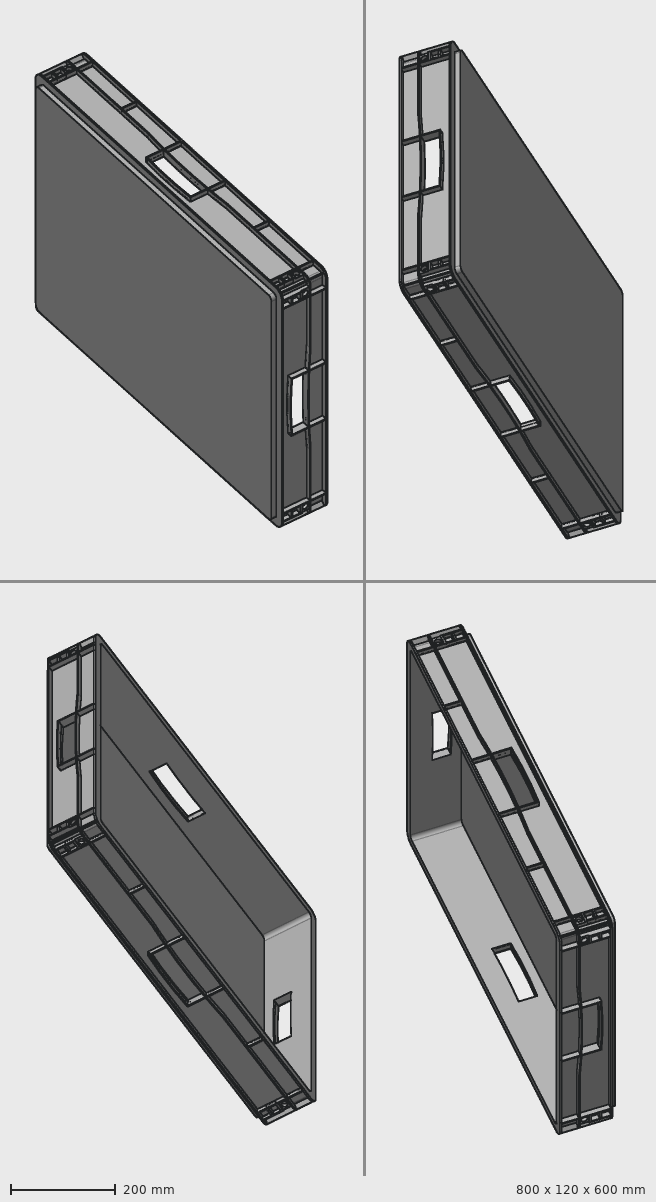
import cadquery as cq
import math

length = 800.0
width = 600.0
height = 120.0

corner_radius = 20.0
recess = 11.0
wall = 6.0
base_inset = 18.0
base_radius = 10.0
base_height = 12.0

rim_thickness = 4.0
rim_y = height - rim_thickness
mid_thickness = 2.0
mid_y = 78.0
foot_thickness = 3.0
foot_y = base_height
foot_top = foot_y + foot_thickness

rib = 2.0
end_rib_inset = 42.0
corner_rib_inset = 22.0

handle_half = 71.0
handle_bottom = 37.0
handle_sag = 2.0
bend_half = 128.0
bend_sag = 5.0

block_bottom = 55.0
block_step = 2.0
lock_rib_thickness = 5.0
lock_hole_radius = 6.0
lock_hole_y = 69.0
cell_rib_y = 36.0
cell_rib_thickness = 4.0


def rounded_slab(inset, radius, y_start, y_end):
    """Rounded rectangle, set in from the outline, between two Y levels."""
    return (
        cq.Workplane("XZ", origin=(0, y_start, 0))
        .rect(length - 2 * inset, width - 2 * inset)
        .extrude(y_start - y_end)
        .edges("|Y")
        .fillet(radius)
    )


def block(x_range, y_range, z_range):
    """Box between two positions along each axis."""
    lows = [limits[0] for limits in (x_range, y_range, z_range)]
    sizes = [limits[1] - limits[0] for limits in (x_range, y_range, z_range)]
    return cq.Workplane("XY").box(*sizes, centered=False).translate(tuple(lows))


def bowed_strip(half, y_bottom, thickness, sag, z_range):
    """Strip along X with both long edges bowed towards the base by sag."""
    y_top = y_bottom + thickness
    return (
        cq.Workplane("XY", origin=(0, 0, z_range[0]))
        .moveTo(-half, y_top)
        .threePointArc((0, y_top - sag), (half, y_top))
        .lineTo(half, y_bottom)
        .threePointArc((0, y_bottom - sag), (-half, y_bottom))
        .close()
        .extrude(z_range[1] - z_range[0])
    )


def mid_bow(x):
    """Drop of the bowed middle flange at offset x."""
    radius = (bend_half**2 + bend_sag**2) / (2 * bend_sag)
    return math.sqrt(radius**2 - x**2) - (radius - bend_sag)


def lock_details(side, x_end, z_range):
    """Ribs, cells and drilled block beside the corner at the +X end."""
    x_inner = x_end - end_rib_inset
    x_outer = x_end - corner_rib_inset
    cells = (x_inner, x_outer + rib / 2)
    z_lower = (z_range[0], z_range[1] - block_step)
    corner_rib = (x_outer - rib / 2, x_outer + rib / 2)
    side = side.union(block(corner_rib, (foot_y, block_bottom), z_range))
    cell_rib = (cell_rib_y - cell_rib_thickness / 2, cell_rib_y + cell_rib_thickness / 2)
    side = side.union(block(cells, cell_rib, z_range))
    side = side.union(block(cells, (block_bottom, block_bottom + lock_rib_thickness), z_range))
    side = side.union(block(cells, (block_bottom, mid_y), z_lower))
    hole = (
        cq.Workplane("XY", origin=((x_inner + x_outer) / 2, lock_hole_y, z_range[0] + wall))
        .circle(lock_hole_radius)
        .extrude(recess)
    )
    return side.cut(hole)


def side_details(side_length, side_offset, rib_offsets):
    """Everything on the recessed wall facing +Z at z = side_offset."""
    z_range = (side_offset - recess - wall, side_offset)
    half_end = side_length / 2

    side = bowed_strip(bend_half, mid_y, mid_thickness, bend_sag, z_range)

    lip_half = handle_half + rib / 2
    side = side.union(bowed_strip(lip_half, handle_bottom - rib, rib, handle_sag, z_range))

    for end in (-1, 1):
        flange = (bend_half, half_end - corner_radius)
        half = block(flange, (mid_y, mid_y + mid_thickness), z_range)
        for x in rib_offsets:
            half = half.union(block((x - rib / 2, x + rib / 2), (mid_y, rim_y), z_range))
        x_last = half_end - end_rib_inset
        for x, y_low in ((handle_half, handle_bottom - rib), (x_last, foot_y)):
            half = half.union(block((x - rib / 2, x + rib / 2), (y_low, rim_y), z_range))
        half = lock_details(half, half_end, z_range)
        if end < 0:
            half = half.mirror("YZ")
        side = side.union(half)
    return side


def handle_opening(side_offset):
    """Cutter for the opening through the wall facing +Z."""
    inner_half = handle_half - rib / 2
    y_top = mid_y - mid_bow(inner_half)
    return (
        cq.Workplane("XY", origin=(0, 0, side_offset - recess - 2 * wall))
        .moveTo(-inner_half, y_top)
        .threePointArc((0, mid_y - bend_sag), (inner_half, y_top))
        .lineTo(inner_half, handle_bottom)
        .threePointArc((0, handle_bottom - handle_sag), (-inner_half, handle_bottom))
        .close()
        .extrude(recess + 2 * wall)
    )


def corner_details(x_sign, z_sign):
    """Diagonal rib and middle flange round one corner."""
    reach = 2 * corner_radius
    fin = (
        cq.Workplane("XY")
        .box(reach, rim_y - foot_y, rib)
        .rotate((0, 0, 0), (0, 1, 0), -45 * x_sign * z_sign)
        .translate((0, (rim_y + foot_y) / 2, 0))
    )
    flange = block(
        (-corner_radius, corner_radius),
        (mid_y, mid_y + mid_thickness),
        (-corner_radius, corner_radius),
    )
    x_centre = x_sign * (length / 2 - corner_radius)
    z_centre = z_sign * (width / 2 - corner_radius)
    envelope = rounded_slab(0, corner_radius, 0, height)
    corner = fin.union(flange).translate((x_centre, 0, z_centre))
    return corner.intersect(envelope)


body = rounded_slab(base_inset, base_radius, 0, base_height)
body = body.union(rounded_slab(0, corner_radius, foot_y, foot_top))
body = body.union(rounded_slab(recess, corner_radius - recess, foot_y, rim_y))
body = body.union(rounded_slab(0, corner_radius, rim_y, height))

for x_sign in (-1, 1):
    for z_sign in (-1, 1):
        body = body.union(corner_details(x_sign, z_sign))

extra_rib = (handle_half + length / 2 - end_rib_inset) / 2
long_side = side_details(length, width / 2, [extra_rib])
short_side = side_details(width, length / 2, [])
long_opening = handle_opening(width / 2)
short_opening = handle_opening(length / 2)

for side, turn in ((long_side, 0), (short_side, 90)):
    for half_turn in (0, 180):
        body = body.union(side.rotate((0, 0, 0), (0, 1, 0), turn + half_turn))

cavity_inset = recess + wall
cavity_radius = corner_radius - recess
cavity = rounded_slab(cavity_inset, cavity_radius, foot_top, height)
body = body.cut(cavity)
for opening, turn in ((long_opening, 0), (short_opening, 90)):
    for half_turn in (0, 180):
        body = body.cut(opening.rotate((0, 0, 0), (0, 1, 0), turn + half_turn))

result = body